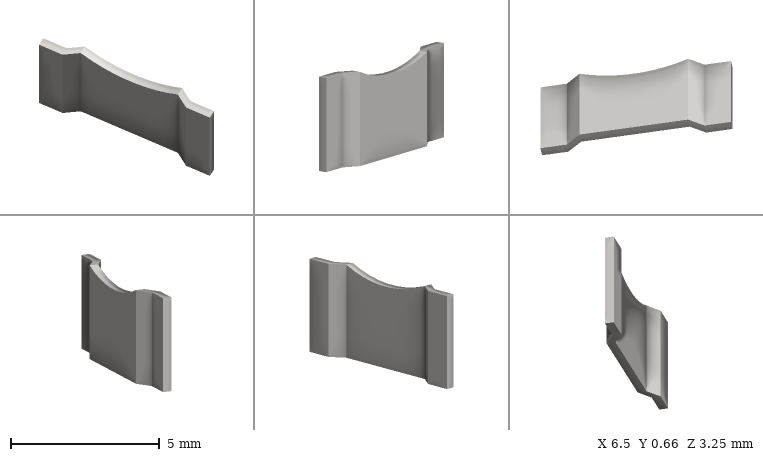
import cadquery as cq

length = 6.5
height = 3.25
depth = 0.66

thickness = 0.31
offset = depth - thickness
web_half = 1.85
leg_run = 0.5
bend = web_half + leg_run

scallop_depth = 0.4


def make_web():
    """Flat center plate whose top edge is a shallow circular scallop."""
    return (
        cq.Workplane("XZ", origin=(0, depth, 0))
        .moveTo(web_half, height)
        .threePointArc((0, height - scallop_depth), (-web_half, height))
        .lineTo(-web_half, 0)
        .lineTo(web_half, 0)
        .close()
        .extrude(thickness)
    )


def make_end_tab(side):
    """Flat end tab with the sloped leg that steps back to the web; side is -1 or +1."""
    profile = [
        (length / 2, 0),
        (bend, 0),
        (web_half, offset),
        (web_half, depth),
        (bend, thickness),
        (length / 2, thickness),
    ]
    return (
        cq.Workplane("XY")
        .polyline([(side * x, y) for x, y in profile])
        .close()
        .extrude(height)
    )


web = make_web()
end_tabs = [make_end_tab(side) for side in (-1, 1)]

result = cq.Compound.makeCompound([web.val(), *[tab.val() for tab in end_tabs]])